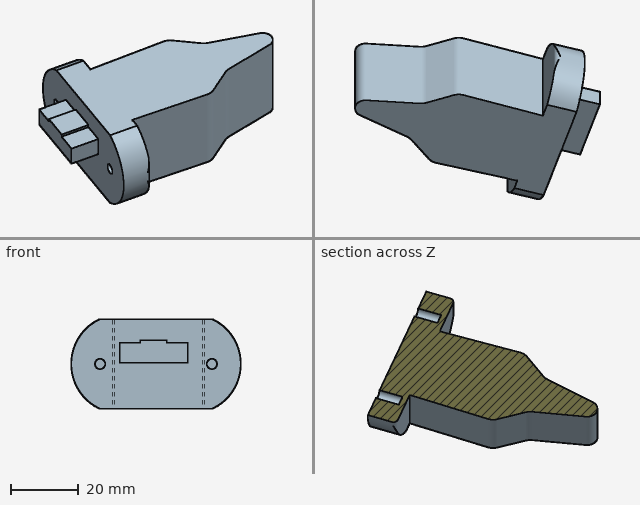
import cadquery as cq

height = 26.5
overall_length = 72.0
tongue_length = 9.0
body_end = overall_length - tongue_length

flange_width = 50.0
flange_thickness = 9.1
flange_flat_length = 33.1
flange_corner_radius = 1.5
hole_diameter = 3.0
hole_spacing = 33.0
hole_depth = 7.2

left_base_x = -12.25
right_base_x = 13.6
left_shoulder = (-12.95, 35.3)
right_shoulder = (14.2, 35.3)
left_neck = (-6.3, 44.1)
right_neck = (7.35, 44.1)
shoulder_radius = 4.0
neck_radius = 4.3
tip_center_x = 0.35
tip_half_width = 3.0
tip_start_y = 60.55

tongue_width = 20.0
tongue_center_x = -0.7
tongue_bottom = 0.3
tongue_top = 6.2
key_width = 7.85
key_top = 7.05


def make_flange():
    """Flat-sided plate with arched ends and rounded rear corners."""
    half_width = flange_width / 2
    half_flat = flange_flat_length / 2
    half_height = height / 2
    plate = (
        cq.Workplane("XZ")
        .moveTo(-half_flat, half_height)
        .lineTo(half_flat, half_height)
        .threePointArc((half_width, 0), (half_flat, -half_height))
        .lineTo(-half_flat, -half_height)
        .threePointArc((-half_width, 0), (-half_flat, half_height))
        .close()
        .extrude(-flange_thickness)
    )
    rounded_block = (
        cq.Workplane("XY")
        .box(flange_width, flange_thickness, height)
        .edges("|Z and >Y")
        .fillet(flange_corner_radius)
        .translate((0, flange_thickness / 2, 0))
    )
    return plate.intersect(rounded_block)


def make_body():
    """Full-height body narrowing through shoulders and a neck to a round tip."""
    outline = (
        cq.Workplane("XY")
        .workplane(offset=-height / 2)
        .moveTo(left_base_x, 0)
        .lineTo(left_base_x, flange_thickness)
        .lineTo(*left_shoulder)
        .lineTo(*left_neck)
        .lineTo(tip_center_x - tip_half_width, tip_start_y)
        .threePointArc((tip_center_x, body_end), (tip_center_x + tip_half_width, tip_start_y))
        .lineTo(*right_neck)
        .lineTo(*right_shoulder)
        .lineTo(right_base_x, flange_thickness)
        .lineTo(right_base_x, 0)
        .close()
    )
    body = outline.extrude(height)
    for corners, radius in (
        ((left_shoulder, right_shoulder), shoulder_radius),
        ((left_neck, right_neck), neck_radius),
    ):
        for x, y in corners:
            body = body.edges(cq.selectors.NearestToPointSelector((x, y, 0))).fillet(radius)
    return body


def make_tongue_bar(width, top):
    """Bar projecting forward from the flange face."""
    return (
        cq.Workplane("XY")
        .box(width, tongue_length, top - tongue_bottom, centered=(True, False, False))
        .translate((tongue_center_x, -tongue_length, tongue_bottom))
    )


def make_holes():
    """Pair of blind screw holes in the front face of the flange."""
    return (
        cq.Workplane("XZ")
        .pushPoints([(-hole_spacing / 2, 0), (hole_spacing / 2, 0)])
        .circle(hole_diameter / 2)
        .extrude(-hole_depth)
    )


result = (
    make_flange()
    .union(make_body())
    .union(make_tongue_bar(tongue_width, tongue_top))
    .union(make_tongue_bar(key_width, key_top))
    .cut(make_holes())
)